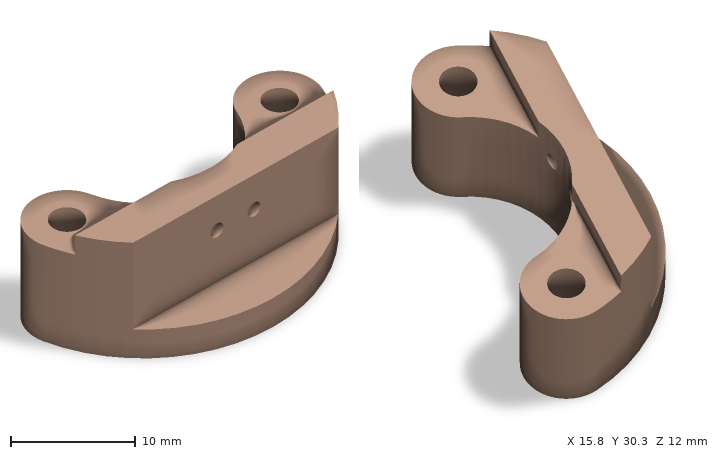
import cadquery as cq
import math

mid_radius = 12.0
band_width = 7.5
end_angle = 72.0
end_radius = band_width / 2
inner_radius = mid_radius - end_radius
outer_radius = mid_radius + end_radius

ledge_height = 3.0
shoulder_height = 10.0
total_height = 12.0

wall_inner_x = 7.45
wall_outer_x = 11.25

mount_hole_diameter = 3.1
wire_hole_diameter = 1.4
wire_hole_spacing = 4.0
wire_hole_height = 8.4

cut_span = 3 * outer_radius


def polar(radius, angle):
    """Point at a radius and an angle in degrees from the +X axis."""
    turn = math.radians(angle)
    return (radius * math.cos(turn), radius * math.sin(turn))


def end_tip(side):
    """Farthest point of the rounded end; side is +1 for +Y and -1 for -Y."""
    x, y = polar(mid_radius, side * end_angle)
    dx, dy = polar(end_radius, side * (end_angle + 90))
    return (x + dx, y + dy)


def make_band():
    return (
        cq.Workplane("XY")
        .moveTo(*polar(outer_radius, -end_angle))
        .threePointArc((outer_radius, 0), polar(outer_radius, end_angle))
        .threePointArc(end_tip(1), polar(inner_radius, end_angle))
        .threePointArc((inner_radius, 0), polar(inner_radius, -end_angle))
        .threePointArc(end_tip(-1), polar(outer_radius, -end_angle))
        .close()
        .extrude(total_height)
    )


def cutting_block(start_x, base_z):
    """Block centred on Y, running toward +X from start_x and up from base_z."""
    block = cq.Workplane("XY").box(cut_span, cut_span, total_height, centered=(False, True, False))
    return block.translate((start_x, 0, base_z))


def cut_shoulder(body):
    """Lower the rounded ends on the inner side of the wall."""
    return body.cut(cutting_block(wall_inner_x - cut_span, shoulder_height))


def cut_ledge(body):
    """Lower the outer edge to a thin ledge with a flat wall behind it."""
    return body.cut(cutting_block(wall_outer_x, ledge_height))


def cut_mount_holes(body):
    """Vertical through holes, concentric with the rounded ends."""
    centers = [polar(mid_radius, side * end_angle) for side in (-1, 1)]
    holes = cq.Workplane("XY").pushPoints(centers).circle(mount_hole_diameter / 2).extrude(total_height)
    return body.cut(holes)


def cut_wire_holes(body):
    """Small holes along X, through the wall."""
    centers = [(side * wire_hole_spacing / 2, wire_hole_height) for side in (-1, 1)]
    holes = cq.Workplane("YZ").pushPoints(centers).circle(wire_hole_diameter / 2).extrude(outer_radius)
    return body.cut(holes)


result = make_band()
result = cut_shoulder(result)
result = cut_ledge(result)
result = cut_mount_holes(result)
result = cut_wire_holes(result)